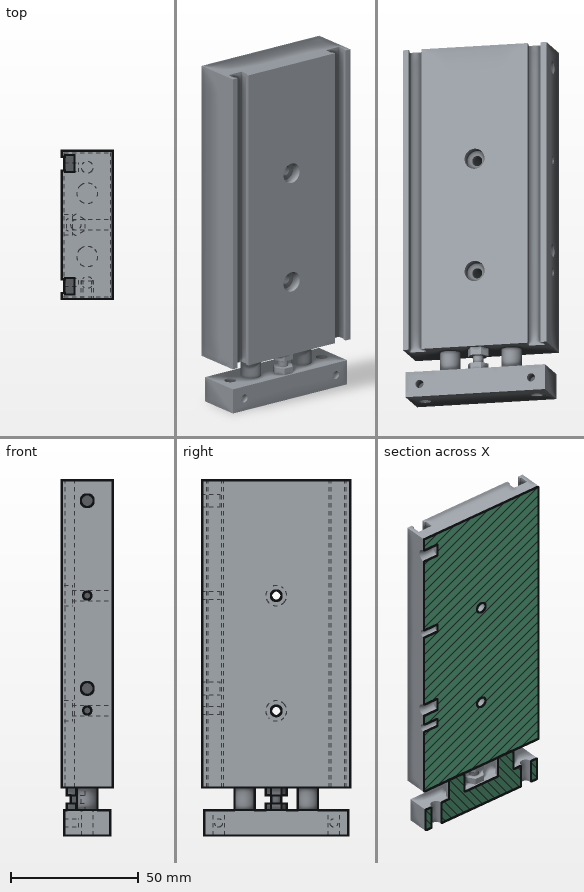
import cadquery as cq

total_height = 139.0
housing_depth = 20.0
housing_width = 58.0
housing_bottom = 18.8
housing_height = total_height - housing_bottom
housing_front = -housing_depth / 2
housing_side = -housing_width / 2

slot_center_y = housing_width / 2 - 5.0
slot_opening = 5.3
slot_inner_width = 6.5
slot_lip = 1.4
slot_depth = 5.0

mount_hole_diameter = 4.0
counterbore_diameter = 8.0
counterbore_depth = 4.2
upper_mount_z = 93.8
mount_spacing = 45.0
mount_heights = [upper_mount_z - mount_spacing, upper_mount_z]

port_diameter = 5.0
port_heights = [57.5, 131.0]
side_hole_diameter = 3.2
side_hole_heights = [48.9, upper_mount_z]
side_hole_depth = 7.0

plate_depth = 18.1
plate_width = 56.3
plate_height = 10.0
plate_front = -plate_depth / 2
rod_diameter = 8.0
rod_offset_y = 12.4
plate_hole_offset_y = 22.5
plate_hole_diameter = 4.6
face_hole_diameter = 3.2
face_hole_depth = 5.5

bolt_x = -4.5
bolt_neck_diameter = 4.0
hex_across_corners = 8.3
lower_hex_height = 2.6
upper_hex_height = 3.0
gap_height = housing_bottom - plate_height


def box_from_front(front_x, depth, width, center_y, bottom_z, height):
    """Box reaching from front_x towards +X and centred on center_y."""
    return cq.Workplane("XY").box(depth, width, height, centered=(False, True, False)).translate(
        (front_x, center_y, bottom_z)
    )


def cylinder(start, direction, diameter, length):
    """Cylinder running from its start point along the given direction."""
    solid = cq.Solid.makeCylinder(diameter / 2, length, cq.Vector(*start), cq.Vector(*direction))
    return cq.Workplane(obj=solid)


def make_t_slot(center_y):
    opening = box_from_front(
        housing_front, slot_depth, slot_opening, center_y, housing_bottom, housing_height
    )
    inner = box_from_front(
        housing_front + slot_lip, slot_depth - slot_lip, slot_inner_width,
        center_y, housing_bottom, housing_height,
    )
    return opening.union(inner)


def make_mount_hole(z):
    start = (housing_front, 0, z)
    through_hole = cylinder(start, (1, 0, 0), mount_hole_diameter, housing_depth)
    counterbore = cylinder(start, (1, 0, 0), counterbore_diameter, counterbore_depth)
    return through_hole.union(counterbore)


def make_side_hole(z, diameter):
    return cylinder((0, housing_side, z), (0, 1, 0), diameter, side_hole_depth)


def make_housing():
    body = box_from_front(
        housing_front, housing_depth, housing_width, 0, housing_bottom, housing_height
    )
    for side in (-1, 1):
        body = body.cut(make_t_slot(side * slot_center_y))
    for z in mount_heights:
        body = body.cut(make_mount_hole(z))
    for z in port_heights:
        body = body.cut(make_side_hole(z, port_diameter))
    for z in side_hole_heights:
        body = body.cut(make_side_hole(z, side_hole_diameter))
    return body


def make_rod_plate():
    body = box_from_front(plate_front, plate_depth, plate_width, 0, 0, plate_height)
    for side in (-1, 1):
        hole_y = side * plate_hole_offset_y
        rod_start = (0, side * rod_offset_y, plate_height)
        face_hole_start = (plate_front, hole_y, plate_height / 2)
        body = body.union(cylinder(rod_start, (0, 0, 1), rod_diameter, gap_height))
        body = body.cut(cylinder((0, hole_y, 0), (0, 0, 1), plate_hole_diameter, plate_height))
        body = body.cut(cylinder(face_hole_start, (1, 0, 0), face_hole_diameter, face_hole_depth))
    return body


def make_hex(bottom_z, height):
    """Hexagonal prism with two opposite corners along Y."""
    hexagon = cq.Workplane("XY").polygon(6, hex_across_corners).extrude(height)
    return hexagon.rotate((0, 0, 0), (0, 0, 1), 90).translate((bolt_x, 0, bottom_z))


def make_stop_bolt():
    neck = cylinder((bolt_x, 0, plate_height), (0, 0, 1), bolt_neck_diameter, gap_height)
    lower_hex = make_hex(plate_height, lower_hex_height)
    upper_hex = make_hex(housing_bottom - upper_hex_height, upper_hex_height)
    return neck.union(lower_hex).union(upper_hex)


housing = make_housing()
rod_plate = make_rod_plate()
stop_bolt = make_stop_bolt()

result = cq.Compound.makeCompound([housing.val(), rod_plate.val(), stop_bolt.val()])